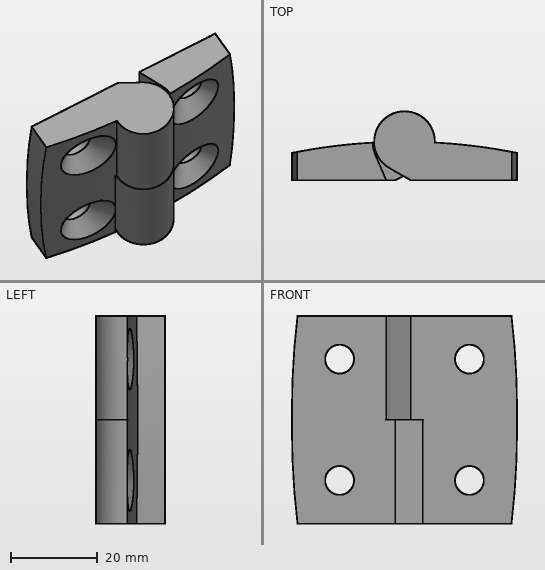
import cadquery as cq
import math

length = 52.0
height = 48.0
thickness = 15.95

knuckle_radius = 7.0
axis_y = thickness - knuckle_radius
right_flank_angle = 30.0
left_flank_angle = 26.6

relief_radius = 7.4
relief_foot = 4.2

back_edge_y = 6.35
end_sag = 1.3
end_flat = 4.3

hole_diameter = 6.6
hole_x = 15.0
hole_z = 14.0
sink_diameter = 14.05
sink_angle = 90.0

half_length = length / 2
half_height = height / 2
crown_drop = axis_y - back_edge_y
crown_radius = (half_length**2 + crown_drop**2) / (2 * crown_drop)


def crown_y(x):
    """Height of the crowned back, whose crest is level with the hinge axis."""
    return axis_y - crown_radius + math.sqrt(crown_radius**2 - x**2)


def circle_point(radius, degrees):
    """Point on a circle around the hinge axis."""
    angle = math.radians(degrees)
    return (radius * math.cos(angle), axis_y + radius * math.sin(angle))


def plate_with_knuckle(flank_angle):
    """Upper half of a leaf: plate, knuckle and the flat flank tangent to the knuckle."""
    angle = math.radians(flank_angle)
    flank_foot = (axis_y * math.cos(angle) - knuckle_radius) / math.sin(angle)
    tangent_point = circle_point(knuckle_radius, 270 - flank_angle)
    plate = (
        cq.Workplane("XY")
        .moveTo(flank_foot, 0)
        .lineTo(half_length, 0)
        .lineTo(half_length, back_edge_y)
        .threePointArc((half_length / 2, crown_y(half_length / 2)), (0, axis_y))
        .lineTo(*tangent_point)
        .close()
        .extrude(half_height)
    )
    knuckle = cq.Workplane("XY").center(0, axis_y).circle(knuckle_radius).extrude(half_height)
    return plate.union(knuckle)


def plate_with_relief():
    """Lower half of a leaf: plate cut back around the other leaf's knuckle."""
    foot_distance = math.hypot(relief_foot, axis_y)
    foot_direction = -math.degrees(math.atan2(axis_y, relief_foot))
    tangent_angle = foot_direction + math.degrees(math.acos(relief_radius / foot_distance))
    edge_angle = -math.degrees(math.asin(relief_radius / (2 * crown_radius)))
    middle_x = (half_length + relief_radius) / 2
    return (
        cq.Workplane("XY")
        .moveTo(relief_foot, 0)
        .lineTo(half_length, 0)
        .lineTo(half_length, back_edge_y)
        .threePointArc((middle_x, crown_y(middle_x)), circle_point(relief_radius, edge_angle))
        .threePointArc(
            circle_point(relief_radius, (edge_angle + tangent_angle) / 2),
            circle_point(relief_radius, tangent_angle),
        )
        .close()
        .extrude(-half_height)
    )


def end_outline():
    """Block whose right side is the bowed outer edge of a leaf: a flat between two tangent arcs."""
    rise = half_height - end_flat / 2
    radius = (rise**2 + end_sag**2) / (2 * end_sag)
    middle_z = end_flat / 2 + rise / 2
    middle_x = half_length - radius + math.sqrt(radius**2 - (rise / 2) ** 2)
    corner_x = half_length - end_sag
    return (
        cq.Workplane("XZ")
        .moveTo(-half_length, -half_height)
        .lineTo(corner_x, -half_height)
        .threePointArc((middle_x, -middle_z), (half_length, -end_flat / 2))
        .lineTo(half_length, end_flat / 2)
        .threePointArc((middle_x, middle_z), (corner_x, half_height))
        .lineTo(-half_length, half_height)
        .close()
        .extrude(-thickness)
    )


def screw_holes():
    """Two through holes, countersunk from the crowned back."""
    slope = math.tan(math.radians(sink_angle / 2))
    hole_radius = hole_diameter / 2
    sink_y = crown_y(hole_x)
    sink_start_y = sink_y - (sink_diameter / 2 - hole_radius) / slope
    top_radius = hole_radius + (axis_y - sink_start_y) * slope
    cutter = (
        cq.Workplane("XY")
        .lineTo(hole_radius, 0)
        .lineTo(hole_radius, sink_start_y)
        .lineTo(top_radius, axis_y)
        .lineTo(0, axis_y)
        .close()
        .revolve(360, (0, 0, 0), (0, 1, 0))
    )
    lower = cutter.translate((hole_x, 0, -hole_z))
    return lower.union(cutter.translate((hole_x, 0, hole_z)))


def leaf(flank_angle):
    """One leaf, extending toward +X, with its knuckle on the upper half."""
    body = plate_with_knuckle(flank_angle).union(plate_with_relief())
    return body.intersect(end_outline()).cut(screw_holes())


right_leaf = leaf(right_flank_angle)
left_leaf = leaf(left_flank_angle).rotate((0, 0, 0), (0, 1, 0), 180)

result = cq.Compound.makeCompound([right_leaf.val(), left_leaf.val()])